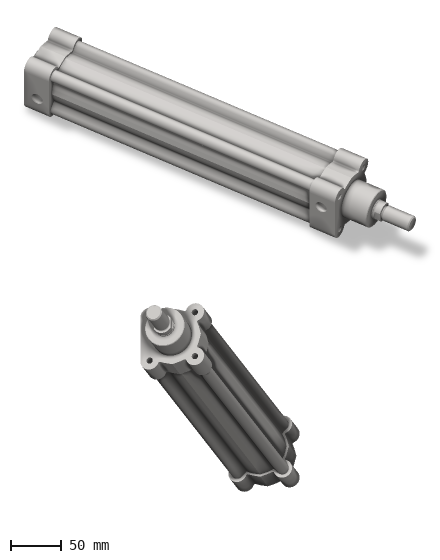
import cadquery as cq
import math


overall_length = 429.0
rear_collar_length = 4.5
rear_cap_length = 28.5
front_cap_start = 330.5
front_cap_length = 29.0
front_collar_length = 28.5
thread_length = 32.0

rear_cap_start = rear_collar_length
barrel_start = rear_cap_start + rear_cap_length
front_cap_end = front_cap_start + front_cap_length
front_collar_end = front_cap_end + front_collar_length
thread_start = overall_length - thread_length

cap_half_width = 32.5
lobe_offset = 23.0
lobe_reach = lobe_offset * math.sqrt(2)
notch_fillet = 1.7
match_tolerance = 0.05
cap_lobe_radius = cap_half_width - lobe_offset
cap_body_radius = 28.5
cap_ridge_half_width = 7.5
barrel_lobe_radius = 6.0
barrel_body_radius = 26.0
barrel_ridge_half_width = 6.0

collar_radius = 20.0
collar_chamfer = 0.65
lip_radius = 10.5
lip_length = 1.5

screw_hole_diameter = 6.5
port_diameter = 11.5
port_depth = 13.0
port_chamfer = 0.65
port_offset = 8.5
port_to_barrel = 13.5

rod_radius = 10.0
flats_start = 391.0
across_flats = 17.0
thread_radius = 8.0
thread_chamfer = 1.5
neck_radius = thread_radius - thread_chamfer
neck_length = 1.5

ALL_SIDES = (0, 90, 180, 270)
SIDES_WITHOUT_PORT_FACE = (0, 90, 270)
LOBE_ANGLES = (45, 135, 225, 315)
LOBE_CENTRES = [(y * lobe_offset, z * lobe_offset) for y in (-1, 1) for z in (-1, 1)]


def cross_section(x):
    """Plane across the cylinder at x, with local axes along Y and Z."""
    return cq.Workplane("YZ", origin=(x, 0, 0))


def turn(body, angle):
    """Turn a body about the cylinder axis."""
    return body.rotate((0, 0, 0), (1, 0, 0), angle)


def disc(x, length, radius):
    return cross_section(x).circle(radius).extrude(length)


def round_lobe(x, length, radius):
    """Round lobe centred on the Y axis at the lobe reach, before it is turned to its corner."""
    return cross_section(x).center(lobe_reach, 0).circle(radius).extrude(length)


def webbed_lobe(x, length, radius):
    """Round lobe with a straight web of the same width running back to the cylinder axis."""
    web = cross_section(x).center(lobe_reach / 2, 0).rect(lobe_reach, 2 * radius).extrude(length)
    return round_lobe(x, length, radius).union(web)


def tangent_ridge(x, length, body_radius, half_width):
    """V ridge on the +Y side: two planes tangent to the body that meet at an apex."""
    tangent_height = math.sqrt(body_radius**2 - half_width**2)
    apex_height = body_radius**2 / tangent_height
    return (
        cross_section(x)
        .moveTo(0, 0)
        .lineTo(tangent_height, -half_width)
        .lineTo(apex_height, 0)
        .lineTo(tangent_height, half_width)
        .close()
        .extrude(length)
    )


def lobed_prism(x, length, body_radius, lobe, ridge_half_width, ridge_sides):
    """Round body with four corner lobes, filleted where they meet it, and a ridge on each listed side."""
    prism = disc(x, length, body_radius)
    for angle in LOBE_ANGLES:
        prism = prism.union(turn(lobe, angle))

    notches = [
        edge
        for edge in prism.edges("|X").vals()
        if abs(math.hypot(edge.Center().y, edge.Center().z) - body_radius) < match_tolerance
    ]
    prism = prism.newObject(notches).fillet(notch_fillet)

    ridge = tangent_ridge(x, length, body_radius, ridge_half_width)
    for angle in ridge_sides:
        prism = prism.union(turn(ridge, angle))
    return prism


def cap_block(x, length, port_x, port_z):
    """Lobed cap with a flat port face on -Y, four screw holes and a port."""
    lobe = round_lobe(x, length, cap_lobe_radius)
    block = lobed_prism(
        x, length, cap_body_radius, lobe, cap_ridge_half_width, SIDES_WITHOUT_PORT_FACE
    )
    port_face = cq.Workplane("XY").box(
        length, cap_half_width, 2 * lobe_offset, centered=(False, False, True)
    )
    block = block.union(port_face.translate((x, -cap_half_width, 0)))

    screw_holes = cross_section(x).pushPoints(LOBE_CENTRES).circle(screw_hole_diameter / 2).extrude(length)
    port = (
        cq.Workplane("XZ", origin=(port_x, -cap_half_width, port_z))
        .circle(port_diameter / 2)
        .extrude(-port_depth)
    )
    port_countersink = (
        cq.Workplane("XZ", origin=(port_x, -cap_half_width, port_z))
        .circle(port_diameter / 2 + port_chamfer)
        .extrude(-port_chamfer, taper=45)
    )
    return block.cut(screw_holes).cut(port).cut(port_countersink)


def make_rear_cap():
    collar = disc(0, rear_collar_length, collar_radius).faces("<X").chamfer(collar_chamfer)
    block = cap_block(rear_cap_start, rear_cap_length, barrel_start - port_to_barrel, -port_offset)
    return block.union(collar)


def make_barrel():
    length = front_cap_start - barrel_start
    lobe = webbed_lobe(barrel_start, length, barrel_lobe_radius)
    return lobed_prism(
        barrel_start, length, barrel_body_radius, lobe, barrel_ridge_half_width, ALL_SIDES
    )


def make_front_cap():
    collar = disc(front_cap_end, front_collar_length, collar_radius).faces(">X").chamfer(collar_chamfer)
    lip = disc(front_collar_end, lip_length, lip_radius)
    rod_bore = disc(front_cap_start, front_collar_end + lip_length - front_cap_start, rod_radius)
    block = cap_block(front_cap_start, front_cap_length, front_cap_start + port_to_barrel, port_offset)
    return block.union(collar).union(lip).cut(rod_bore)


def make_rod():
    """Rod through the front cap, with two wrench flats and a narrower threaded end."""
    rod = disc(front_cap_start, thread_start - front_cap_start, rod_radius)
    flats_length = thread_start - flats_start
    flatted_stretch = disc(flats_start, flats_length, 2 * rod_radius)
    between_flats = cross_section(flats_start).rect(across_flats, 4 * rod_radius).extrude(flats_length)
    rod = rod.cut(flatted_stretch.cut(between_flats))
    neck = disc(thread_start, neck_length, neck_radius)
    thread = disc(thread_start + neck_length, thread_length - neck_length, thread_radius)
    thread = thread.faces("<X or >X").chamfer(thread_chamfer)
    return rod.union(neck).union(thread)


rear_cap = make_rear_cap()
barrel = make_barrel()
front_cap = make_front_cap()
rod = make_rod()

result = cq.Compound.makeCompound([rear_cap.val(), barrel.val(), front_cap.val(), rod.val()])